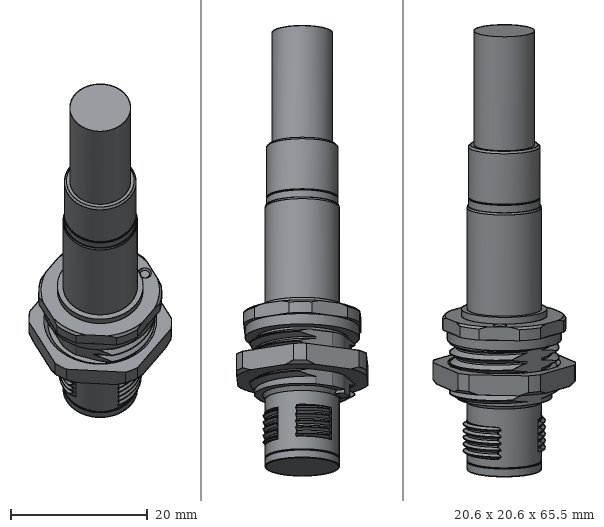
import cadquery as cq
import math

TOTAL_LENGTH = 65.5
SHOULDER_TOP_Z = 10.85
PLUG_TOP_Z = 10.15
THREAD_TOP_Z = 19.0
FLANGE_Z = 19.45
HEX_Z = 21.0
HEX_TOP_Z = 23.0
COLLAR_TOP_Z = 24.0
HOUSING_TOP_Z = 39.4
SLEEVE_Z = 40.5
SLEEVE_TOP_Z = 48.5

PLUG_RADIUS = 5.45
SHOULDER_RADIUS = 5.8
RELIEF_RADIUS = 6.65
FLANGE_RADIUS = 8.35
COLLAR_RADIUS = 6.27
SLEEVE_RADIUS = 5.25
CABLE_RADIUS = 4.45
EDGE_CHAMFER = 0.3
BASE_CHAMFER = 0.1
GROOVE_DEPTH = 0.15
GROOVE_WIDTH = 0.15
PLUG_GROOVE_Z = 1.2

HEX_ANGLE = 45.0
HALF_SIDE_ANGLE = 30.0
HEX_ACROSS_FLATS = 17.0
HEX_CORNER_RADIUS = 9.0
HEX_CHAMFER = 0.35
NUT_ACROSS_FLATS = 19.0
NUT_CORNER_RADIUS = 10.45
NUT_Z = 13.0
NUT_HEIGHT = 3.0
NUT_CHAMFER = 0.5
NUT_COUNTERSINK_RADIUS = 8.25
NUT_COUNTERSINK_DEPTH = 0.6

MOUNT_MAJOR_RADIUS = 8.0
MOUNT_ROOT_RADIUS = 6.97
MOUNT_PITCH = 1.5
MOUNT_CREST_Z = 11.7
MOUNT_CRESTS = 6
MOUNT_FIRST_ANGLE = -59.0
MOUNT_START_ANGLE = -90.0
MOUNT_END_ANGLE = 225.0
MOUNT_FLAT_DISTANCE = 6.83
MOUNT_FLAT_ANGLES = (90, 225, 270)
KEY_WIDTH = 2.7
KEY_Z = 10.35

PLUG_MAJOR_RADIUS = 6.0
PLUG_ROOT_RADIUS = 5.55
PLUG_PITCH = 1.0
PLUG_CREST_Z = 1.95
PLUG_CRESTS = 7
PAD_HEIGHT = 4.8
THREAD_PADS = [
    (-60, 60, (4.2, 8.0), (-8.0, 8.0), 2.6),
    (100, 170, (-8.0, 0.0), (2.2, 4.95), 3.15),
    (180, 255, (-8.0, 0.0), (-5.05, -0.8), 3.25),
]

MARKER_RADIUS = 0.95
MARKER_FLOOR_RADIUS = 0.7
MARKER_DEPTH = 0.25
MARKER_DISTANCE = 7.26
MARKER_ANGLE = 45.0

CREST_FLAT = 0.08
FLANK_WIDTH = 0.9
OVERLAP = 0.1


def cylinder(radius, bottom, top):
    return cq.Workplane("XY").workplane(offset=bottom).circle(radius).extrude(top - bottom)


def cone(bottom_radius, top_radius, bottom, top):
    solid = cq.Solid.makeCone(bottom_radius, top_radius, top - bottom, cq.Vector(0, 0, bottom))
    return cq.Workplane(obj=solid)


def ring_groove(radius, bottom):
    outer = cylinder(radius + OVERLAP, bottom, bottom + GROOVE_WIDTH)
    return outer.cut(cylinder(radius - GROOVE_DEPTH, bottom, bottom + GROOVE_WIDTH))


def block(x_limits, y_limits, z_limits):
    """Box between two limits along each axis."""
    (x0, x1), (y0, y1), (z0, z1) = x_limits, y_limits, z_limits
    return cq.Workplane("XY").box(x1 - x0, y1 - y0, z1 - z0, centered=False).translate((x0, y0, z0))


def helical_tooth(root, major, pitch, start_angle, end_angle, crest_z):
    """Right-hand thread tooth between two angles, with its crest at crest_z on the +X side."""
    base = root - OVERLAP
    half_base = FLANK_WIDTH * pitch / 2
    half_crest = CREST_FLAT * pitch / 2
    profile = [(base, -half_base), (major, -half_crest), (major, half_crest), (base, half_base)]
    length = pitch * (end_angle - start_angle) / 360
    path = cq.Workplane(obj=cq.Wire.makeHelix(pitch, length, root))
    tooth = cq.Workplane("XZ").polyline(profile).close().sweep(path, isFrenet=True)
    tooth = tooth.rotate((0, 0, 0), (0, 0, 1), start_angle)
    return tooth.translate((0, 0, crest_z + pitch * start_angle / 360))


def fuse_teeth(body, teeth):
    solids = [solid for tooth in teeth for solid in tooth.solids().vals()]
    return cq.Workplane(obj=body.val().fuse(*solids))


def hexagon(across_flats, corner_radius, bottom, top):
    """Hexagon with its corners turned down to corner_radius."""
    across_corners = across_flats / math.cos(math.radians(HALF_SIDE_ANGLE))
    prism = cq.Workplane("XY").polygon(6, across_corners).extrude(top - bottom)
    prism = prism.rotate((0, 0, 0), (0, 0, 1), HEX_ANGLE - HALF_SIDE_ANGLE).translate((0, 0, bottom))
    return prism.intersect(cylinder(corner_radius, bottom, top))


def plug():
    body = cylinder(PLUG_RADIUS, 0, PLUG_TOP_Z).faces("<Z").chamfer(BASE_CHAMFER)
    body = body.cut(ring_groove(PLUG_RADIUS, PLUG_GROOVE_Z))
    return body.union(cone(PLUG_RADIUS, SHOULDER_RADIUS, PLUG_TOP_Z, SHOULDER_TOP_Z))


def plug_pad(start_angle, end_angle, x_limits, y_limits, bottom):
    """One pad of the plug thread, a rectangular window onto a threaded sleeve."""
    window = block(x_limits, y_limits, (bottom, bottom + PAD_HEIGHT))
    pad = cylinder(PLUG_ROOT_RADIUS, bottom, bottom + PAD_HEIGHT)
    pad = pad.cut(cylinder(PLUG_RADIUS - OVERLAP, bottom, bottom + PAD_HEIGHT))
    teeth = []
    for index in range(PLUG_CRESTS):
        crest_z = PLUG_CREST_Z + index * PLUG_PITCH
        tooth = helical_tooth(
            PLUG_ROOT_RADIUS, PLUG_MAJOR_RADIUS, PLUG_PITCH, start_angle, end_angle, crest_z
        )
        teeth.append(tooth)
    return fuse_teeth(pad, teeth).intersect(window)


def flatten(body):
    """Cut the three flats of the mounting thread."""
    size = 4 * MOUNT_MAJOR_RADIUS
    for angle in MOUNT_FLAT_ANGLES:
        outside = cq.Workplane("XY").box(size, size, TOTAL_LENGTH, centered=(False, True, False))
        outside = outside.translate((MOUNT_FLAT_DISTANCE, 0, 0)).rotate((0, 0, 0), (0, 0, 1), angle)
        body = body.cut(outside)
    return body


def mounting_thread():
    core = cylinder(MOUNT_ROOT_RADIUS, SHOULDER_TOP_Z, THREAD_TOP_Z)
    envelope = cylinder(2 * MOUNT_MAJOR_RADIUS, SHOULDER_TOP_Z, THREAD_TOP_Z)
    teeth = []
    for index in range(MOUNT_CRESTS):
        start_angle = MOUNT_FIRST_ANGLE if index == 0 else MOUNT_START_ANGLE
        crest_z = MOUNT_CREST_Z + index * MOUNT_PITCH
        tooth = helical_tooth(
            MOUNT_ROOT_RADIUS, MOUNT_MAJOR_RADIUS, MOUNT_PITCH, start_angle, MOUNT_END_ANGLE, crest_z
        )
        teeth.append(tooth.intersect(envelope))
    return flatten(fuse_teeth(core, teeth))


def key():
    """Small tab below the thread, flush with the flat facing -Y."""
    depth = MOUNT_FLAT_DISTANCE - PLUG_RADIUS / 2
    tab = cq.Workplane("XY").box(KEY_WIDTH, depth, SHOULDER_TOP_Z - KEY_Z, centered=(True, False, False))
    return tab.translate((0, -MOUNT_FLAT_DISTANCE, KEY_Z))


def nut():
    top = NUT_Z + NUT_HEIGHT
    body = hexagon(NUT_ACROSS_FLATS, NUT_CORNER_RADIUS, NUT_Z, top)
    chamfered = cylinder(NUT_CORNER_RADIUS, NUT_Z, top).faces("<Z").chamfer(NUT_CHAMFER)
    body = body.intersect(chamfered)
    inner = NUT_COUNTERSINK_RADIUS - NUT_COUNTERSINK_DEPTH
    return body.cut(cone(inner, NUT_COUNTERSINK_RADIUS, top - NUT_COUNTERSINK_DEPTH, top))


def flange():
    body = cylinder(RELIEF_RADIUS, THREAD_TOP_Z, FLANGE_Z)
    body = body.union(cylinder(FLANGE_RADIUS, FLANGE_Z, HEX_Z))
    head = hexagon(HEX_ACROSS_FLATS, HEX_CORNER_RADIUS, HEX_Z, HEX_TOP_Z)
    chamfered = cylinder(HEX_CORNER_RADIUS, HEX_Z, HEX_TOP_Z).faces(">Z").chamfer(HEX_CHAMFER)
    head = head.intersect(chamfered)
    angle = math.radians(MARKER_ANGLE)
    marker = cone(MARKER_FLOOR_RADIUS, MARKER_RADIUS, HEX_TOP_Z - MARKER_DEPTH, HEX_TOP_Z)
    marker = marker.translate((MARKER_DISTANCE * math.cos(angle), MARKER_DISTANCE * math.sin(angle), 0))
    body = body.union(head.cut(marker))
    return body.union(cylinder(COLLAR_RADIUS, HEX_TOP_Z, COLLAR_TOP_Z))


def housing_and_cable():
    housing = cylinder(PLUG_RADIUS, COLLAR_TOP_Z, HOUSING_TOP_Z)
    housing = housing.faces(">Z").chamfer(EDGE_CHAMFER, BASE_CHAMFER)
    sleeve = cylinder(SLEEVE_RADIUS, HOUSING_TOP_Z, SLEEVE_TOP_Z).faces(">Z").chamfer(EDGE_CHAMFER)
    sleeve = sleeve.cut(ring_groove(SLEEVE_RADIUS, SLEEVE_Z))
    cable = cylinder(CABLE_RADIUS, SLEEVE_TOP_Z, TOTAL_LENGTH)
    return housing.union(sleeve).union(cable)


result = plug()
for section in (key(), mounting_thread(), nut(), flange(), housing_and_cable()):
    result = result.union(section)
for pad_limits in THREAD_PADS:
    result = result.union(plug_pad(*pad_limits))